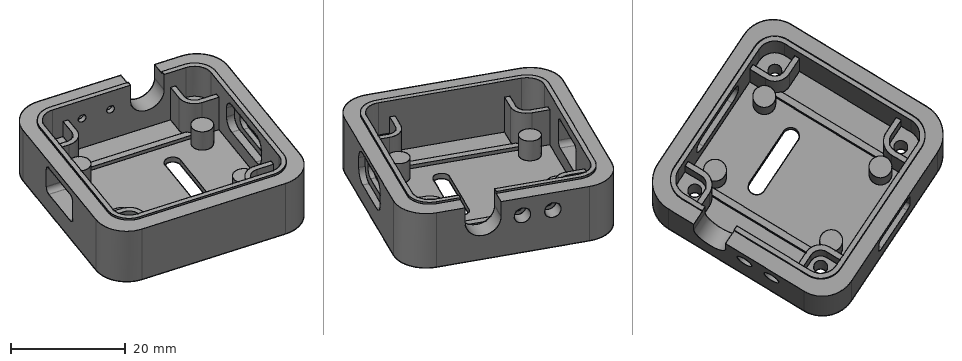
import cadquery as cq

side = 40.0
total_height = 11.7
lip_height = 0.4
body_height = total_height - lip_height
body_corner_radius = 6.0

floor_thickness = 1.1
cavity_side = 32.55
cavity_corner_radius = 3.2
lip_width = 0.9
lip_side = cavity_side + 2 * lip_width
lip_corner_radius = cavity_corner_radius + lip_width
wall_thickness = (side - cavity_side) / 2
cavity_face = cavity_side / 2

screw_offset = 13.0
screw_hole_diameter = 2.4
fence_inner_radius = 2.0
fence_thickness = 1.0
fence_outer_radius = fence_inner_radius + fence_thickness
fence_top = 8.35
well_floor_top = 5.0

post_diameter = 4.0
post_x = 8.0
post_y = 12.0
post_top = 5.2
rib_inner_x = screw_offset - fence_outer_radius
rib_width = 1.25
rib_height = 0.7

floor_slot_length = 14.0
floor_slot_width = 3.0
floor_slot_y = 4.95

notch_width = 6.55
notch_y = 5.5
notch_bottom = 4.9

button_ys = (-1.7, -7.3)
button_z = 7.7
button_bore_diameter = 3.0
button_hole_diameter = 1.5
button_bore_depth = 2.7

window_bottom = 4.05
window_top = 9.9
window_height = window_top - window_bottom
window_z = (window_bottom + window_top) / 2
window_width = 10.15
window_corner_radius = 1.0
port_x = -0.3
port_width = 9.3
port_height = 3.5
port_z = 7.05
port_corner_radius = 1.5
recess_x = -0.4
recess_width = 13.35
recess_height = 6.0
recess_corner_radius = 2.0
recess_depth = 1.5
port_wall = 1.0
plug_clearance = 1.5
plug_corner_radius = 2.25


def rounded_block(width, depth, corner_radius, bottom, top):
    """Upright block centred on the Z axis with rounded vertical edges."""
    block = cq.Workplane("XY").box(width, depth, top - bottom, centered=(True, True, False))
    return block.edges("|Z").fillet(corner_radius).translate((0, 0, bottom))


def wall_cutter(width, height, corner_radius, x, z, y_start, y_end):
    """Rounded rectangle extruded along Y from y_start to y_end."""
    cutter = cq.Workplane("XY").box(width, y_end - y_start, height)
    return cutter.edges("|Y").fillet(corner_radius).translate((x, (y_start + y_end) / 2, z))


def corner_blocks(radius, top):
    """Four rounded blocks over the body's corners, their inner edges centred on the screws."""
    block_side = 2 * (side / 2 - screw_offset + radius)
    block = rounded_block(block_side, block_side, radius, 0, top)
    blocks = cq.Workplane("XY")
    for x_sign in (-1, 1):
        for y_sign in (-1, 1):
            blocks = blocks.add(block.translate((x_sign * side / 2, y_sign * side / 2, 0)))
    return blocks.combine()


def screw_wells():
    """L-shaped walls and raised floors of the four screw wells, kept inside the cavity."""
    fences = corner_blocks(fence_outer_radius, fence_top).cut(corner_blocks(fence_inner_radius, fence_top))
    return fences.union(corner_blocks(fence_inner_radius, well_floor_top)).intersect(cavity)


def floor_ribs():
    """Low ribs running the length of the cavity, outboard of the posts."""
    rib_x = rib_inner_x + rib_width / 2
    return (
        cq.Workplane("XY", origin=(0, 0, floor_thickness))
        .pushPoints([(-rib_x, 0), (rib_x, 0)])
        .rect(rib_width, cavity_side)
        .extrude(rib_height)
    )


def support_posts():
    return (
        cq.Workplane("XY")
        .rect(2 * post_x, 2 * post_y, forConstruction=True)
        .vertices()
        .circle(post_diameter / 2)
        .extrude(post_top)
    )


def cable_notch():
    """Round-bottomed slot through the -X wall and its lip."""
    radius = notch_width / 2
    arc_z = notch_bottom + radius
    return (
        cq.Workplane("YZ", origin=(-side / 2, 0, 0))
        .moveTo(notch_y - radius, total_height)
        .lineTo(notch_y - radius, arc_z)
        .threePointArc((notch_y, notch_bottom), (notch_y + radius, arc_z))
        .lineTo(notch_y + radius, total_height)
        .close()
        .extrude(wall_thickness)
    )


def button_holes():
    """Wide bores from outside that narrow before they reach the cavity."""
    outer_face = cq.Workplane("YZ", origin=(-side / 2, 0, 0))
    centres = [(y, button_z) for y in button_ys]
    bores = outer_face.pushPoints(centres).circle(button_bore_diameter / 2).extrude(button_bore_depth)
    holes = outer_face.pushPoints(centres).circle(button_hole_diameter / 2).extrude(wall_thickness)
    return bores.union(holes)


def floor_openings():
    floor = cq.Workplane("XY")
    slot = floor.center(0, floor_slot_y).slot2D(floor_slot_length, floor_slot_width).extrude(floor_thickness)
    screw_holes = (
        floor.rect(2 * screw_offset, 2 * screw_offset, forConstruction=True)
        .vertices()
        .circle(screw_hole_diameter / 2)
        .extrude(well_floor_top)
    )
    return slot.union(screw_holes)


body = rounded_block(side, side, body_corner_radius, 0, body_height)
lip = rounded_block(lip_side, lip_side, lip_corner_radius, floor_thickness, total_height)
cavity = rounded_block(cavity_side, cavity_side, cavity_corner_radius, floor_thickness, total_height)
box = body.union(lip).cut(cavity)

box = box.union(floor_ribs()).union(support_posts()).union(screw_wells())

window = wall_cutter(
    window_width, window_height, window_corner_radius, 0, window_z, -side / 2, -cavity_face
)
port = wall_cutter(
    port_width, port_height, port_corner_radius, port_x, port_z, cavity_face, side / 2
)
recess = wall_cutter(
    recess_width, recess_height, recess_corner_radius, recess_x, port_z,
    cavity_face, cavity_face + recess_depth,
)
plug_pocket = wall_cutter(
    port_width + 2 * plug_clearance, port_height + 2 * plug_clearance, plug_corner_radius,
    port_x, port_z, cavity_face + recess_depth + port_wall, side / 2,
)
for opening in (floor_openings(), cable_notch(), button_holes(), window, port, recess, plug_pocket):
    box = box.cut(opening)

result = box